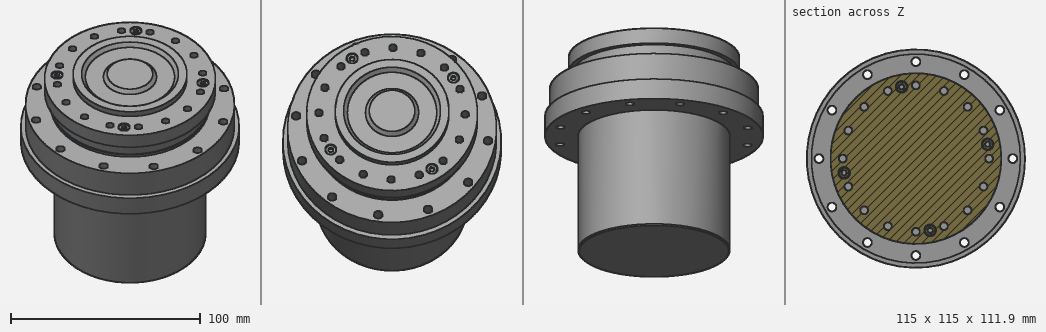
import cadquery as cq
import math

TOTAL_HEIGHT = 111.9

MOTOR_DIAMETER = 80.0
FLANGE_DIAMETER = 115.0
HOUSING_DIAMETER = 110.0
NECK_DIAMETER = 84.0
COLLAR_DIAMETER = 85.0
OUTPUT_DIAMETER = 90.0
RIM_DIAMETER = 60.0

FLANGE_THICKNESS = 11.0
HOUSING_HEIGHT = 15.2
NECK_HEIGHT = 2.0
COLLAR_HEIGHT = 7.5
OUTPUT_THICKNESS = 8.4
RIM_HEIGHT = 3.3
MOTOR_CHAMFER = 0.7

RIM_BASE_Z = TOTAL_HEIGHT - RIM_HEIGHT
OUTPUT_BASE_Z = RIM_BASE_Z - OUTPUT_THICKNESS
COLLAR_BASE_Z = OUTPUT_BASE_Z - COLLAR_HEIGHT
NECK_BASE_Z = COLLAR_BASE_Z - NECK_HEIGHT
HOUSING_BASE_Z = NECK_BASE_Z - HOUSING_HEIGHT
FLANGE_BASE_Z = HOUSING_BASE_Z - FLANGE_THICKNESS

RECESS_DEPTH = 2.0
RECESS_TOP_DIAMETER = 51.0
RECESS_FLOOR_DIAMETER = 47.0
BOSS_BASE_DIAMETER = 28.0
BOSS_TOP_DIAMETER = 24.0

FLANGE_HOLE_COUNT = 12
FLANGE_HOLE_DIAMETER = 4.5
FLANGE_HOLE_CIRCLE = 102.0

OUTPUT_CIRCLE = 77.0
OUTPUT_HOLE_COUNT = 16
OUTPUT_HOLE_DIAMETER = 4.0
OUTPUT_HOLE_DEPTH = 8.0

SCREW_COUNT = 4
SCREW_ANGLE = 360.0 / OUTPUT_HOLE_COUNT / 2
COUNTERBORE_DIAMETER = 6.0
COUNTERBORE_DEPTH = 3.5
HEAD_DIAMETER = 5.5
HEAD_HEIGHT = 3.0
SOCKET_ACROSS_FLATS = 2.5
SOCKET_DEPTH = 1.5
HEXAGON_SIDES = 6
HEXAGON_CORNER_RATIO = 1 / math.cos(math.pi / HEXAGON_SIDES)


def disc(diameter, base_z, top_z):
    """Solid cylinder on the part axis between two levels."""
    return cq.Workplane("XY").workplane(offset=base_z).circle(diameter / 2).extrude(top_z - base_z)


def bolt_circle(level, diameter, count):
    """Workplane at a level holding evenly spaced points on a circle."""
    plane = cq.Workplane("XY").workplane(offset=level)
    return plane.polarArray(diameter / 2, 0, 360, count)


def stepped_body():
    """Motor cylinder, flange, housing and output stages stacked on one axis."""
    body = disc(MOTOR_DIAMETER, 0, FLANGE_BASE_Z).faces("<Z").chamfer(MOTOR_CHAMFER)
    stages = [
        (FLANGE_DIAMETER, FLANGE_BASE_Z, HOUSING_BASE_Z),
        (HOUSING_DIAMETER, HOUSING_BASE_Z, NECK_BASE_Z),
        (NECK_DIAMETER, NECK_BASE_Z, COLLAR_BASE_Z),
        (COLLAR_DIAMETER, COLLAR_BASE_Z, OUTPUT_BASE_Z),
        (OUTPUT_DIAMETER, OUTPUT_BASE_Z, RIM_BASE_Z),
        (RIM_DIAMETER, RIM_BASE_Z, TOTAL_HEIGHT),
    ]
    for diameter, base_z, top_z in stages:
        body = body.union(disc(diameter, base_z, top_z))
    return body


def recess_ring():
    """Ring-shaped recess with sloping walls that leaves the central boss standing."""
    floor_z = TOTAL_HEIGHT - RECESS_DEPTH
    section = cq.Workplane("XZ").polyline(
        [
            (BOSS_TOP_DIAMETER / 2, TOTAL_HEIGHT),
            (BOSS_BASE_DIAMETER / 2, floor_z),
            (RECESS_FLOOR_DIAMETER / 2, floor_z),
            (RECESS_TOP_DIAMETER / 2, TOTAL_HEIGHT),
        ]
    )
    return section.close().revolve(360, (0, 0, 0), (0, 1, 0))


def flange_holes():
    """Holes passing through the housing and the flange."""
    points = bolt_circle(FLANGE_BASE_Z, FLANGE_HOLE_CIRCLE, FLANGE_HOLE_COUNT)
    return points.circle(FLANGE_HOLE_DIAMETER / 2).extrude(NECK_BASE_Z - FLANGE_BASE_Z)


def output_holes():
    """Blind holes in the top of the output disc."""
    points = bolt_circle(RIM_BASE_Z, OUTPUT_CIRCLE, OUTPUT_HOLE_COUNT)
    return points.circle(OUTPUT_HOLE_DIAMETER / 2).extrude(-OUTPUT_HOLE_DEPTH)


def screw_recess():
    """Counterbore less the screw head seated in it, plus the socket, at the first screw position.

    Two opposite corners of the hexagon socket point along X.
    """
    floor_z = RIM_BASE_Z - COUNTERBORE_DEPTH
    head_top_z = floor_z + HEAD_HEIGHT
    socket_corners = SOCKET_ACROSS_FLATS * HEXAGON_CORNER_RATIO
    angle = math.radians(SCREW_ANGLE)
    x = OUTPUT_CIRCLE / 2 * math.cos(angle)
    y = OUTPUT_CIRCLE / 2 * math.sin(angle)
    floor_point = cq.Workplane("XY", origin=(x, y, floor_z))
    bore = floor_point.circle(COUNTERBORE_DIAMETER / 2).extrude(COUNTERBORE_DEPTH)
    head = floor_point.circle(HEAD_DIAMETER / 2).extrude(HEAD_HEIGHT)
    head_top = cq.Workplane("XY", origin=(x, y, head_top_z))
    socket = head_top.polygon(HEXAGON_SIDES, socket_corners).extrude(-SOCKET_DEPTH)
    return bore.cut(head).union(socket)


def cut_screw_recesses(body):
    """Body with the screw recess repeated evenly around the axis."""
    recess = screw_recess()
    for index in range(SCREW_COUNT):
        turn = index * 360.0 / SCREW_COUNT
        body = body.cut(recess.rotate((0, 0, 0), (0, 0, 1), turn))
    return body


body_with_holes = stepped_body().cut(recess_ring()).cut(flange_holes()).cut(output_holes())
result = cut_screw_recesses(body_with_holes)